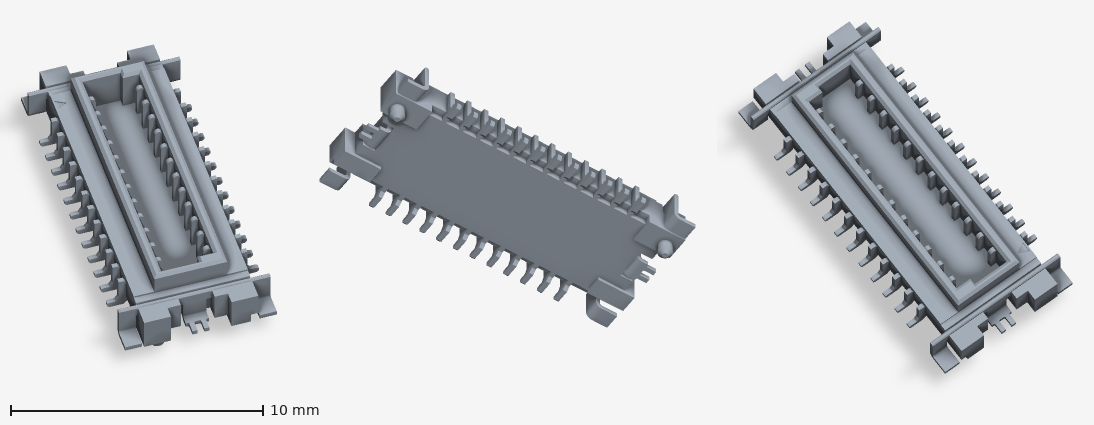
import cadquery as cq
import math


length = 13.8
overall_width = 6.3
width = 4.75
end_height = 1.45
deck_height = 1.53
deck_length = 11.04
base_clearance = 0.17
pad_inner_x = 5.19
pad_inner_y = 1.25
block_step_x = 6.43
block_inner_y = 0.7
recess_height = 0.41
recess_depth = 0.3

shroud_width = 3.04
shroud_top = 2.4
rim_bevel = 0.12
cavity_floor = 0.61
cavity_half_x = 5.19
cavity_half_y = 1.13
key_half_x = 4.9
key_y = 0.45
key_bevel = 0.08

plate_thickness = 0.2
plate_outer_x = 6.05
plate_inner_x = plate_outer_x - plate_thickness
plate_half_width = overall_width / 2
plate_top = 1.44
plate_edge_bevel = 0.05
plate_bottom = 0.97
bend_radius = 0.11
foot_end_x = 6.86
foot_inner_y = 2.44
tab_half_width = 0.48
tab_end_x = 6.39
prong_offset = 0.25
prong_width = 0.21
prong_fillet = 0.05
slot_flare = 0.04

lead_count = 12
lead_pitch = 0.8
lead_width = 0.2
lead_top = 1.37
lead_back_bevel_y = 0.08
lead_back_bevel_z = 0.11
lead_face_y = 2.68
lead_bend_top = 0.44
foot_start_y = 2.8
lead_foot_height = 0.25
lead_end_y = overall_width / 2
lead_tip_slope_y = 0.1
lead_tip_slope_z = 0.03
lead_tip_chamfer = 0.08
heel_start_y = 2.3
heel_end_y = 2.48
contact_face_y = 0.85
contact_top = 2.13
contact_round = 0.2
contact_back_drop = 0.08

peg_x = 6.39
peg_y = -1.68
peg_diameter = 0.62
peg_tip_diameter = 0.25
peg_length = 0.6
peg_tip_length = 0.2

mark_x = -4.95
mark_base_y = -2.29
mark_width = 0.47
mark_height = 0.43
mark_depth = 0.05

diagonal = math.sqrt(0.5)
half_length = length / 2
half_width = width / 2


def block(x0, x1, y0, y1, z0, z1):
    """Box between two opposite corners."""
    return cq.Workplane("XY").box(x1 - x0, y1 - y0, z1 - z0, centered=False).translate((x0, y0, z0))


def extrude_along_x(points, x_center, thickness):
    """Extrude a (y, z) outline along X, centred on x_center."""
    profile = cq.Workplane("YZ").polyline(points).close()
    return profile.extrude(thickness / 2, both=True).translate((x_center, 0, 0))


def both_ends(solid):
    """Solid together with its mirror image at the other X end."""
    return solid.union(solid.mirror("YZ"))


def both_sides(solid):
    """Solid together with its mirror image at the other Y side."""
    return solid.union(solid.mirror("XZ"))


def make_end_block():
    """L-shaped block at the -X, -Y corner, standing on the mounting plane."""
    outer = block(-half_length, -pad_inner_x, -half_width, -pad_inner_y, 0, end_height)
    inner = block(-block_step_x, -pad_inner_x, -pad_inner_y, -block_inner_y, base_clearance, end_height)
    return outer.union(inner)


def make_housing():
    core = block(-plate_inner_x, plate_inner_x, -half_width, half_width, base_clearance, end_height)
    deck_half = deck_length / 2
    deck = block(-deck_half, deck_half, -half_width, half_width, base_clearance, deck_height)
    shroud = (
        cq.Workplane("XY")
        .box(deck_length, shroud_width, shroud_top - base_clearance, centered=(True, True, False))
        .translate((0, 0, base_clearance))
        .faces(">Z")
        .chamfer(rim_bevel)
    )
    housing = core.union(deck).union(both_ends(both_sides(make_end_block()))).union(shroud)

    recess_y = half_width - recess_depth
    housing = housing.cut(block(-pad_inner_x, pad_inner_x, -half_width, -recess_y, 0, recess_height))
    return housing.cut(block(-half_length, half_length, recess_y, half_width, 0, recess_height))


def cavity_outline(growth, key_growth):
    """Stepped outline of the cavity, moved outward by growth (by key_growth at the key step)."""
    wide_x = cavity_half_x + growth
    narrow_x = key_half_x + growth
    wall_y = cavity_half_y + growth
    step_y = key_y + key_growth
    return [
        (-wide_x, -wall_y),
        (wide_x, -wall_y),
        (wide_x, step_y),
        (narrow_x, step_y),
        (narrow_x, wall_y),
        (-narrow_x, wall_y),
        (-narrow_x, step_y),
        (-wide_x, step_y),
    ]


def make_cavity():
    """Keyed pocket in the shroud with a bevelled mouth."""
    pocket = cq.Workplane("XY").workplane(offset=cavity_floor).polyline(cavity_outline(0, 0)).close()
    pocket = pocket.extrude(shroud_top - cavity_floor)
    mouth = (
        cq.Workplane("XY")
        .workplane(offset=shroud_top - rim_bevel)
        .polyline(cavity_outline(0, 0))
        .close()
        .workplane(offset=rim_bevel)
        .polyline(cavity_outline(rim_bevel, key_bevel))
        .close()
        .loft(ruled=True)
    )
    return pocket.union(mouth)


def make_plate_slot():
    """Slot for the -X plate, widening toward its mouth."""
    outline = [
        (-plate_outer_x, plate_bottom),
        (-plate_inner_x, plate_bottom),
        (-plate_inner_x + slot_flare, end_height),
        (-plate_outer_x - slot_flare, end_height),
    ]
    return cq.Workplane("XZ").polyline(outline).close().extrude(half_width, both=True)


def make_plate_strip(y0, y1, end_x):
    """L-shaped strip of the -X plate with a rounded bend and a foot reaching out to end_x."""
    outer_radius = bend_radius + plate_thickness
    center_x = -plate_outer_x - bend_radius
    center_z = outer_radius
    outer_mid = (center_x + outer_radius * diagonal, center_z - outer_radius * diagonal)
    inner_mid = (center_x + bend_radius * diagonal, center_z - bend_radius * diagonal)
    strip = (
        cq.Workplane("XZ")
        .moveTo(-end_x, 0)
        .lineTo(center_x, 0)
        .threePointArc(outer_mid, (-plate_inner_x, center_z))
        .lineTo(-plate_inner_x, plate_bottom)
        .lineTo(-plate_outer_x, plate_bottom)
        .lineTo(-plate_outer_x, center_z)
        .threePointArc(inner_mid, (center_x, plate_thickness))
        .lineTo(-end_x, plate_thickness)
        .close()
        .extrude(y0 - y1)
    )
    return strip.translate((0, y0, 0))


def make_plate():
    """Hold-down plate of the -X end: upright web, two feet and a pronged middle tab."""
    half = plate_half_width
    web = block(-plate_outer_x, -plate_inner_x, -half, half, plate_bottom, plate_top)
    web = web.faces(">Z").edges("|Y").chamfer(plate_edge_bevel)
    foot = make_plate_strip(-plate_half_width, -foot_inner_y, foot_end_x)
    tab = make_plate_strip(-tab_half_width, tab_half_width, tab_end_x)
    prong_y0 = prong_offset - prong_width / 2
    prong_y1 = prong_offset + prong_width / 2
    prong = block(-foot_end_x, -tab_end_x, prong_y0, prong_y1, 0, plate_thickness)
    tab = tab.union(both_sides(prong))
    prong_roots = cq.selectors.BoxSelector(
        (-tab_end_x - prong_fillet, -tab_half_width + prong_fillet, 0),
        (-tab_end_x + prong_fillet, tab_half_width - prong_fillet, plate_thickness),
    )
    tab = tab.edges("|Z").edges(prong_roots).fillet(prong_fillet)
    return web.union(both_sides(foot)).union(tab)


def make_lead(x):
    """Gull-wing lead on the +Y side."""
    seat_y = half_width - recess_depth
    outline = [
        (seat_y, base_clearance),
        (heel_start_y, base_clearance),
        (heel_end_y, 0),
        (lead_end_y - lead_tip_chamfer, 0),
        (lead_end_y, lead_tip_chamfer),
        (lead_end_y, lead_foot_height - lead_tip_slope_z),
        (lead_end_y - lead_tip_slope_y, lead_foot_height),
        (foot_start_y, lead_foot_height),
        (lead_face_y, lead_bend_top),
        (lead_face_y, lead_top),
        (half_width + lead_back_bevel_y, lead_top),
        (half_width, lead_top - lead_back_bevel_z),
        (half_width, recess_height),
        (seat_y, recess_height),
    ]
    return extrude_along_x(outline, x, lead_width)


def make_contact(x):
    """Contact blade on the +Y cavity wall with a rounded top front edge."""
    crest_y = contact_face_y + contact_round
    round_mid = (crest_y - contact_round * diagonal, contact_top - contact_round * (1 - diagonal))
    blade = (
        cq.Workplane("YZ")
        .moveTo(cavity_half_y, cavity_floor)
        .lineTo(contact_face_y, cavity_floor)
        .lineTo(contact_face_y, contact_top - contact_round)
        .threePointArc(round_mid, (crest_y, contact_top))
        .lineTo(cavity_half_y, contact_top - contact_back_drop)
        .close()
        .extrude(lead_width / 2, both=True)
    )
    return blade.translate((x, 0, 0))


def make_peg():
    """Locating peg of the -X end with a conical tip."""
    shank_length = peg_length - peg_tip_length
    profile = [
        (0, 0),
        (peg_diameter / 2, 0),
        (peg_diameter / 2, -shank_length),
        (peg_tip_diameter / 2, -peg_length),
        (0, -peg_length),
    ]
    peg = cq.Workplane("XZ").polyline(profile).close().revolve(360, (0, 0, 0), (0, 1, 0))
    return peg.translate((-peg_x, peg_y, 0))


def make_pin_mark():
    """Triangular recess in the deck beside the first lead."""
    corners = [
        (mark_x - mark_width / 2, mark_base_y),
        (mark_x + mark_width / 2, mark_base_y),
        (mark_x, mark_base_y + mark_height),
    ]
    triangle = cq.Workplane("XY").workplane(offset=deck_height - mark_depth).polyline(corners).close()
    return triangle.extrude(mark_depth)


result = make_housing().cut(make_cavity()).cut(both_ends(make_plate_slot())).cut(make_pin_mark())
result = result.union(both_ends(make_plate())).union(both_ends(make_peg()))
for index in range(lead_count):
    lead_x = (index - (lead_count - 1) / 2) * lead_pitch
    result = result.union(both_sides(make_lead(lead_x)))
    result = result.union(both_sides(make_contact(lead_x)))